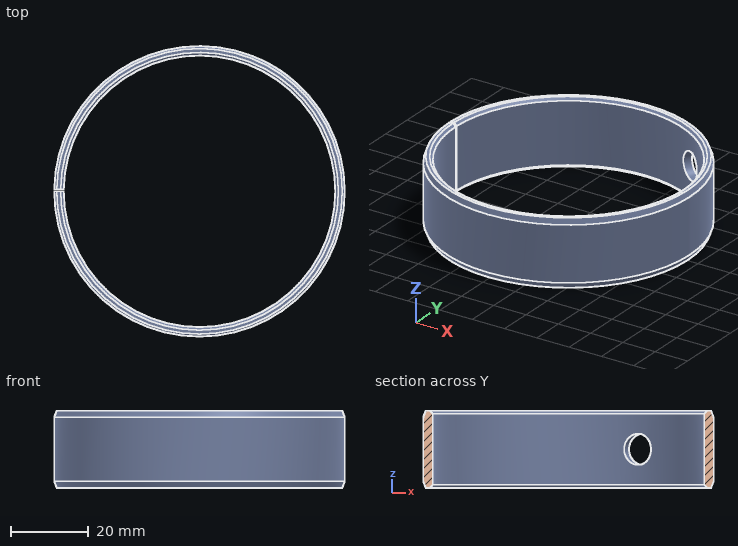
import cadquery as cq

outer_diameter = 75.0
inner_diameter = 70.0
height = 20.0
outer_chamfer_height = 1.7
outer_chamfer_depth = 0.7
inner_chamfer_height = 0.8
inner_chamfer_depth = 0.8
slit_width = 0.45
slit_offset = 0.3
hole_diameter = 8.0
hole_angle = 59.2

outer_radius = outer_diameter / 2
inner_radius = inner_diameter / 2


def ring():
    """Revolve the band section, with chamfers on all four rims."""
    section = (
        cq.Workplane("XZ")
        .moveTo(inner_radius + inner_chamfer_depth, 0)
        .lineTo(outer_radius - outer_chamfer_depth, 0)
        .lineTo(outer_radius, outer_chamfer_height)
        .lineTo(outer_radius, height - outer_chamfer_height)
        .lineTo(outer_radius - outer_chamfer_depth, height)
        .lineTo(inner_radius + inner_chamfer_depth, height)
        .lineTo(inner_radius, height - inner_chamfer_height)
        .lineTo(inner_radius, inner_chamfer_height)
        .close()
    )
    return section.revolve(360, (0, 0, 0), (0, 1, 0))


def slit():
    """Narrow full-height cut through the wall on the -X side."""
    blank = cq.Workplane("XY").box(outer_radius, slit_width, height, centered=(False, True, False))
    return blank.translate((-outer_radius, slit_offset, 0))


def radial_hole():
    """Cylinder at mid height, running outwards from the ring axis."""
    return (
        cq.Workplane("YZ")
        .center(0, height / 2)
        .circle(hole_diameter / 2)
        .extrude(outer_radius)
        .rotate((0, 0, 0), (0, 0, 1), hole_angle)
    )


result = ring().cut(slit()).cut(radial_hole())